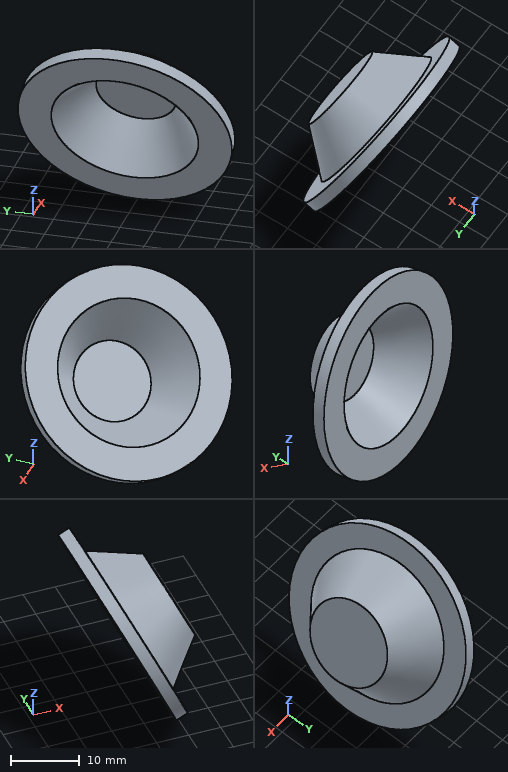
import cadquery as cq
import math

flange_diameter = 32.0
flange_thickness = 2.0
dome_base_diameter = 24.0
dome_end_diameter = 14.0
dome_height = 7.0
cavity_mouth_diameter = 22.0
cavity_floor_diameter = 12.0
end_wall_thickness = 2.0
tilt_angle = 25.0

total_length = flange_thickness + dome_height
cavity_depth = total_length - end_wall_thickness


def tilted_plane():
    """Plane of the flange's open face, with its normal along the part axis."""
    tilt = math.radians(tilt_angle)
    return cq.Plane(
        origin=(0, 0, 0),
        xDir=(math.sin(tilt), 0, -math.cos(tilt)),
        normal=(math.cos(tilt), 0, math.sin(tilt)),
    )


def cup_profile(plane):
    """Half section of the flanged cup: local x is radius, local y is along the axis."""
    section_plane = cq.Plane(origin=plane.origin, xDir=plane.xDir, normal=-plane.yDir)
    return (
        cq.Workplane(section_plane)
        .moveTo(cavity_mouth_diameter / 2, 0)
        .lineTo(flange_diameter / 2, 0)
        .lineTo(flange_diameter / 2, flange_thickness)
        .lineTo(dome_base_diameter / 2, flange_thickness)
        .lineTo(dome_end_diameter / 2, total_length)
        .lineTo(0, total_length)
        .lineTo(0, cavity_depth)
        .lineTo(cavity_floor_diameter / 2, cavity_depth)
        .close()
    )


result = cup_profile(tilted_plane()).revolve(360, (0, 0), (0, 1))